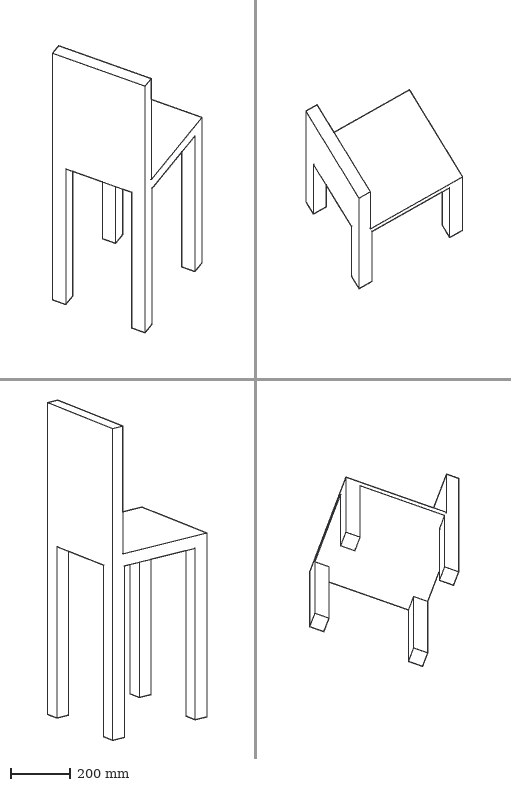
import cadquery as cq

width = 356.0
depth = 407.0
height = 1111.0

seat_top = 656.0
seat_thickness = 45.0
back_thickness = 45.0
leg_size = 51.0

seat_underside = seat_top - seat_thickness


def corner_box(size_x, size_y, size_z, x=0.0, y=0.0, z=0.0):
    """Box with its lowest corner at (x, y, z)."""
    return cq.Workplane("XY").box(size_x, size_y, size_z, centered=False).translate((x, y, z))


seat = corner_box(width, depth, seat_thickness, z=seat_underside)

backrest = corner_box(width, back_thickness, height - seat_underside, z=seat_underside)

result = seat.union(backrest)

for leg_x in (0.0, width - leg_size):
    for leg_y in (0.0, depth - leg_size):
        result = result.union(corner_box(leg_size, leg_size, seat_underside, x=leg_x, y=leg_y))